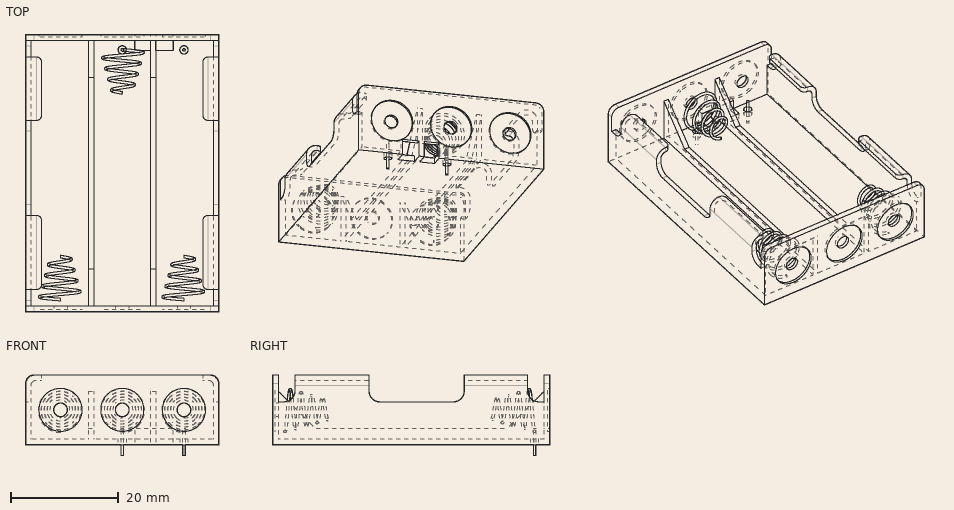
import cadquery as cq
import math

LENGTH_X = 35.94
LENGTH_Y = 51.56
HEIGHT = 13.0
SIDE_WALL = 1.0
END_WALL = 1.15
FLOOR = 1.1
END_CORNER_RADIUS = 1.6

CELL_PITCH = 11.47
CELL_CENTRES = [-CELL_PITCH, 0, CELL_PITCH]
CELL_AXIS_Z = 6.5

LIP_OUTER_RADIUS = 2.0
LIP_INNER_RADIUS = LIP_OUTER_RADIUS - SIDE_WALL
LIP_REACH = 3.0
LIP_CORNER_RADIUS = 1.0
CUTOUT_FLOOR_Z = 8.0
CUTOUT_RADIUS = 2.0
LIP_END_OFFSET = 4.16
FRONT_LIP_LENGTH = 13.8
REAR_LIP_LENGTH = 11.8

RIB_THICKNESS = 1.0
RIB_X = CELL_PITCH / 2
RIB_LOW_Z = 3.0
RIB_HIGH_Z = 9.9
RIB_SLOPE_END = 8.0

END_HOLE_DIAMETER = 2.5
RECESS_DIAMETER = 8.0
RECESS_DEPTH = 0.5

SLOT_WIDTH = 7.1
SLOT_CENTRE_X = 5.9
SLOT_FAR_OFFSET = 2.95
SLOT_TOP_Z = 3.0
PIN_HOLE_DIAMETER = 1.5

PIN_DIAMETER = 0.5
PIN_BOTTOM_Z = -2.0
PIN_TOP_Z = 3.0
PIN_OFFSET = 2.85
PIN_CENTRES_X = [0, CELL_PITCH]

WIRE_DIAMETER = 0.5
SPRING_BASE_RADIUS = 4.0
SPRING_TIP_RADIUS = 1.8
SPRING_LENGTH = 8.0
SPRING_TURNS = 4
FRONT_SPRING_OFFSET = 2.3

FRONT_Y = -LENGTH_Y / 2
REAR_Y = LENGTH_Y / 2
SIDE_X = LENGTH_X / 2
PIN_Y = REAR_Y - PIN_OFFSET


def block(x0, x1, y0, y1, z0, z1):
    """Axis-aligned block between two opposite corners."""
    return cq.Workplane("XY").box(x1 - x0, y1 - y0, z1 - z0, centered=False).translate((x0, y0, z0))


def floor_plate():
    """Flat floor over the whole footprint."""
    return block(-SIDE_X, SIDE_X, FRONT_Y, REAR_Y, 0, FLOOR)


def end_wall(outer_y, inward):
    """End wall with rounded top corners; inward is +1 or -1 along Y."""
    y0 = min(outer_y, outer_y + inward * END_WALL)
    wall = block(-SIDE_X, SIDE_X, y0, y0 + END_WALL, 0, HEIGHT)
    return wall.edges("|Y and >Z").fillet(END_CORNER_RADIUS)


def side_wall():
    """Left side wall: a curled-over lip, cut away at both ends and in the middle."""
    bend_x = -SIDE_X + LIP_OUTER_RADIUS
    bend_z = HEIGHT - LIP_OUTER_RADIUS
    diagonal = math.sqrt(0.5)
    wall = (
        cq.Workplane("XZ", origin=(0, REAR_Y, 0))
        .moveTo(-SIDE_X, 0)
        .lineTo(-SIDE_X, bend_z)
        .threePointArc(
            (bend_x - LIP_OUTER_RADIUS * diagonal, bend_z + LIP_OUTER_RADIUS * diagonal),
            (bend_x, HEIGHT),
        )
        .lineTo(-SIDE_X + LIP_REACH, HEIGHT)
        .lineTo(-SIDE_X + LIP_REACH, HEIGHT - SIDE_WALL)
        .lineTo(bend_x, HEIGHT - SIDE_WALL)
        .threePointArc(
            (bend_x - LIP_INNER_RADIUS * diagonal, bend_z + LIP_INNER_RADIUS * diagonal),
            (-SIDE_X + SIDE_WALL, bend_z),
        )
        .lineTo(-SIDE_X + SIDE_WALL, 0)
        .close()
        .extrude(LENGTH_Y)
    )
    front_lip_start = FRONT_Y + LIP_END_OFFSET
    rear_lip_end = REAR_Y - LIP_END_OFFSET
    front_lip_end = front_lip_start + FRONT_LIP_LENGTH
    rear_lip_start = rear_lip_end - REAR_LIP_LENGTH
    cutouts = [
        (FRONT_Y - LIP_REACH, front_lip_start),
        (front_lip_end, rear_lip_start),
        (rear_lip_end, REAR_Y + LIP_REACH),
    ]
    for start, end in cutouts:
        cutout = block(
            -SIDE_X - SIDE_WALL, -SIDE_X + 2 * LIP_REACH, start, end, CUTOUT_FLOOR_Z, HEIGHT + SIDE_WALL
        )
        wall = wall.cut(cutout.edges("|X and <Z").fillet(CUTOUT_RADIUS))
    return wall.faces(">X").edges("|Z").fillet(LIP_CORNER_RADIUS)


def rib(x):
    """Divider that rises to each end wall along a slope."""
    slope_end_y = REAR_Y - RIB_SLOPE_END
    wall_y = REAR_Y - END_WALL
    return (
        cq.Workplane("YZ", origin=(x - RIB_THICKNESS / 2, 0, 0))
        .polyline([
            (-wall_y, 0),
            (-wall_y, RIB_HIGH_Z),
            (-slope_end_y, RIB_LOW_Z),
            (slope_end_y, RIB_LOW_Z),
            (wall_y, RIB_HIGH_Z),
            (wall_y, 0),
        ])
        .close()
        .extrude(RIB_THICKNESS)
    )


def wire_slot():
    """Opening at the foot of the rear wall, split in two by the right-hand rib."""
    slot_x = SLOT_CENTRE_X - SLOT_WIDTH / 2
    inner_y = REAR_Y - SLOT_FAR_OFFSET
    opening = block(slot_x, slot_x + SLOT_WIDTH, inner_y, REAR_Y, 0, SLOT_TOP_Z)
    rib_left_x = RIB_X - RIB_THICKNESS / 2
    rib_zone = block(rib_left_x, rib_left_x + RIB_THICKNESS, inner_y, REAR_Y, 0, SLOT_TOP_Z)
    return opening.cut(rib_zone)


def y_cylinder(x, rear_y, diameter, depth):
    """Cylinder on a cell axis, running from rear_y toward the front."""
    return cq.Workplane("XZ", origin=(x, rear_y, CELL_AXIS_Z)).circle(diameter / 2).extrude(depth)


def make_housing():
    """Open tray holding three cells side by side."""
    left_wall = side_wall()
    rear_wall = end_wall(REAR_Y, -1).cut(wire_slot())
    body = floor_plate().cut(wire_slot())
    body = body.union(left_wall).union(left_wall.mirror("YZ"))
    body = body.union(end_wall(FRONT_Y, 1)).union(rear_wall)
    for x in (-RIB_X, RIB_X):
        body = body.union(rib(x))

    for x in CELL_CENTRES:
        body = body.cut(y_cylinder(x, REAR_Y, END_HOLE_DIAMETER, LENGTH_Y))
        body = body.cut(y_cylinder(x, REAR_Y, RECESS_DIAMETER, RECESS_DEPTH))
        body = body.cut(y_cylinder(x, FRONT_Y + RECESS_DEPTH, RECESS_DIAMETER, RECESS_DEPTH))

    for x in PIN_CENTRES_X:
        hole = cq.Workplane("XY", origin=(x, PIN_Y, 0)).circle(PIN_HOLE_DIAMETER / 2).extrude(FLOOR)
        body = body.cut(hole)
    return body


def make_pin(x):
    """Straight solder pin standing in a clearance hole in the floor."""
    pin_start = cq.Workplane("XY", origin=(x, PIN_Y, PIN_BOTTOM_Z))
    return pin_start.circle(PIN_DIAMETER / 2).extrude(PIN_TOP_Z - PIN_BOTTOM_Z)


def make_spring(x, base_y, inward):
    """Conical spring along Y, wide end at base_y, wire starting at its lowest point."""
    taper = SPRING_BASE_RADIUS - SPRING_TIP_RADIUS
    slant_length = math.hypot(SPRING_LENGTH, taper)
    cone_angle = -math.degrees(math.atan2(taper, SPRING_LENGTH))
    path = cq.Wire.makeHelix(slant_length / SPRING_TURNS, slant_length, SPRING_BASE_RADIUS, angle=cone_angle)
    wire = (
        cq.Workplane("XZ")
        .center(SPRING_BASE_RADIUS, 0)
        .circle(WIRE_DIAMETER / 2)
        .sweep(cq.Workplane(path), isFrenet=True)
    )
    placement = cq.Plane(origin=(x, base_y, CELL_AXIS_Z), xDir=(0, 0, -1), normal=(0, inward, 0))
    return cq.Workplane(wire.val().moved(placement.location))


housing = make_housing()
pins = [make_pin(x) for x in PIN_CENTRES_X]
front_springs = [make_spring(x, FRONT_Y + FRONT_SPRING_OFFSET, 1) for x in (-CELL_PITCH, CELL_PITCH)]
rear_spring = make_spring(0, PIN_Y, -1).cut(pins[0])

bodies = [housing, *pins, *front_springs, rear_spring]
result = cq.Compound.makeCompound([body.solids().val() for body in bodies])